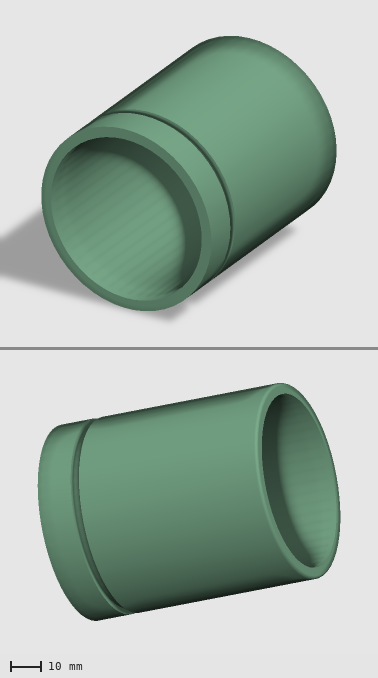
import cadquery as cq

length = 80.0
outer_diameter = 66.0
bore_diameter = 58.5

groove_diameter = 62.0
groove_offset = 12.0
groove_width = 3.0

edge_radius = 1.0


def cylinder_along_y(diameter, start, depth):
    """Solid cylinder on the Y axis, reaching from start towards +Y."""
    plane = cq.Plane(origin=(0, start, 0), xDir=(1, 0, 0), normal=(0, 1, 0))
    return cq.Workplane(plane).circle(diameter / 2).extrude(depth)


front_end = -length / 2

body = cylinder_along_y(outer_diameter, front_end, length)
body = body.faces(">Y").edges().fillet(edge_radius)

groove_start = front_end + groove_offset
groove = cylinder_along_y(outer_diameter, groove_start, groove_width).cut(
    cylinder_along_y(groove_diameter, groove_start, groove_width)
)
bore = cylinder_along_y(bore_diameter, front_end, length)

result = body.cut(groove).cut(bore)